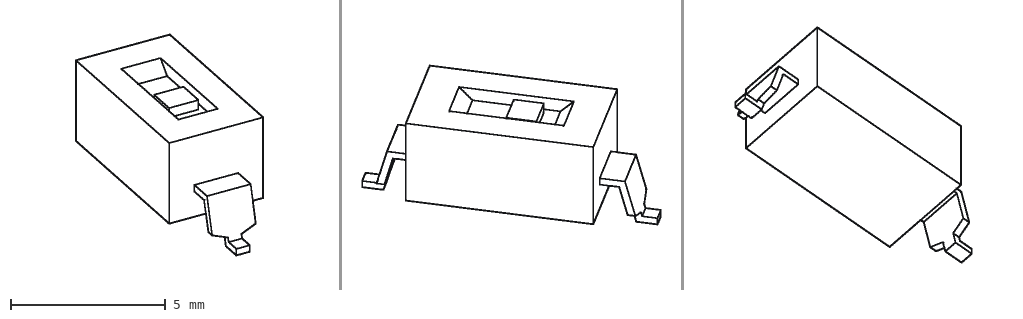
import cadquery as cq

overall_length = 9.8
overall_height = 3.7
body_length = 6.22
body_width = 3.48
body_height = 3.0

recess_length = 3.81
recess_floor_length = 2.92
recess_width = 1.45
recess_depth = 0.45

knob_length = 1.0
knob_width = 1.09
knob_height = 0.35
knob_center_x = 0.45

lead_thickness = 0.245
lead_width = 1.62
lead_top = 1.89
shoulder_x = 3.95
foot_length = 0.51
bend_offset = 0.2
foot_width = 0.5
taper_top = 0.6
taper_bottom = 0.39

body_bottom = overall_height - body_height
recess_floor = overall_height - recess_depth


def make_body():
    box = cq.Workplane("XY").box(body_length, body_width, body_height, centered=(True, True, False))
    return box.translate((0, 0, body_bottom))


def make_recess():
    half_top = recess_length / 2
    half_floor = recess_floor_length / 2
    section = [
        (-half_top, overall_height),
        (half_top, overall_height),
        (half_floor, recess_floor),
        (-half_floor, recess_floor),
    ]
    return cq.Workplane("XZ").polyline(section).close().extrude(recess_width / 2, both=True)


def make_knob():
    knob = cq.Workplane("XY").box(knob_length, knob_width, knob_height, centered=(True, True, False))
    return knob.translate((knob_center_x, 0, recess_floor))


def make_right_lead():
    """Bent strip profile, trimmed to the tapering outline seen along X."""
    tip_x = overall_length / 2
    root_x = body_length / 2
    heel_x = tip_x - foot_length
    bent_profile = [
        (root_x, lead_top),
        (shoulder_x, lead_top),
        (heel_x, lead_thickness),
        (tip_x, lead_thickness),
        (tip_x, 0),
        (heel_x - bend_offset, 0),
        (shoulder_x - bend_offset, lead_top - lead_thickness),
        (root_x, lead_top - lead_thickness),
    ]
    strip = cq.Workplane("XZ").polyline(bent_profile).close().extrude(lead_width / 2, both=True)

    half_lead = lead_width / 2
    half_foot = foot_width / 2
    outline = [
        (-half_lead, lead_top),
        (half_lead, lead_top),
        (half_lead, taper_top),
        (half_foot, taper_bottom),
        (half_foot, 0),
        (-half_foot, 0),
        (-half_foot, taper_bottom),
        (-half_lead, taper_top),
    ]
    envelope = cq.Workplane("YZ").polyline(outline).close().extrude(tip_x)
    return strip.intersect(envelope)


right_lead = make_right_lead()
left_lead = right_lead.mirror("YZ")

result = make_body().cut(make_recess()).union(make_knob()).union(right_lead).union(left_lead)